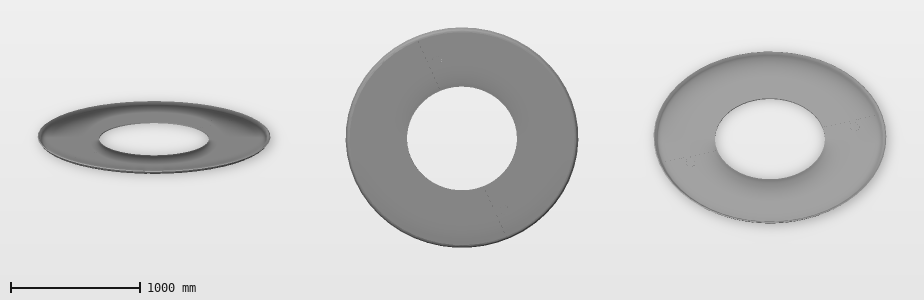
import cadquery as cq
import math

outer_radius = 900.0
bore_radius = 425.0
height = 30.0
plate_thickness = 9.0

lip_edge_height = 25.0
lip_crest_radius = 893.0
floor_radius = 864.0
bend_radius = 873.0
bend_height = 13.0
underside_radius = 870.0
flare_start_radius = 887.0
flare_start_height = 9.0

seam_gap = 0.7
seam_start_radius = bore_radius - 18.0
seam_end_radius = 877.0
seam_side_width = 54.0
key_offset_x = -70.0
key_offset_y = 662.0
key_radius = 36.0
neck_width = 38.0
neck_overlap = 18.0


def bend_middle():
    """Midpoint of the upper bend arc, which leaves the flat floor tangentially."""
    run = bend_radius - floor_radius
    rise = bend_height - plate_thickness
    arc_radius = (run**2 + rise**2) / (2 * rise)
    half_angle = math.atan2(rise, run)
    return (
        floor_radius + arc_radius * math.sin(half_angle),
        plate_thickness + arc_radius * (1 - math.cos(half_angle)),
    )


def dished_ring():
    """Revolve the plate and its flared lip about Z."""
    return (
        cq.Workplane("XZ")
        .moveTo(bore_radius, 0)
        .lineTo(underside_radius, 0)
        .tangentArcPoint((flare_start_radius, flare_start_height), relative=False)
        .lineTo(outer_radius, lip_edge_height)
        .lineTo(lip_crest_radius, height)
        .lineTo(bend_radius, bend_height)
        .threePointArc(bend_middle(), (floor_radius, plate_thickness))
        .lineTo(bore_radius, plate_thickness)
        .close()
        .revolve(360, (0, 0), (0, 1))
    )


def keyed_side(growth):
    """Material on the +X side of the seam with its key, its seam edge moved outward by growth."""
    seam_length = seam_end_radius - seam_start_radius
    side = (
        cq.Workplane("XY")
        .box(seam_side_width, seam_length, height, centered=False)
        .translate((-growth, seam_start_radius, 0))
    )
    neck_length = neck_overlap - key_offset_x
    neck = (
        cq.Workplane("XY")
        .box(neck_length, neck_width + 2 * growth, height, centered=(False, True, False))
        .translate((key_offset_x, key_offset_y, 0))
    )
    head = (
        cq.Workplane("XY")
        .center(key_offset_x, key_offset_y)
        .circle(key_radius + growth)
        .extrude(height)
    )
    return side.union(neck).union(head)


def seam_slit():
    """Narrow through slit that follows the seam and the outline of its key."""
    half_gap = seam_gap / 2
    return keyed_side(half_gap).cut(keyed_side(-half_gap))


slit = seam_slit()
result = dished_ring().cut(slit).cut(slit.mirror("XZ"))